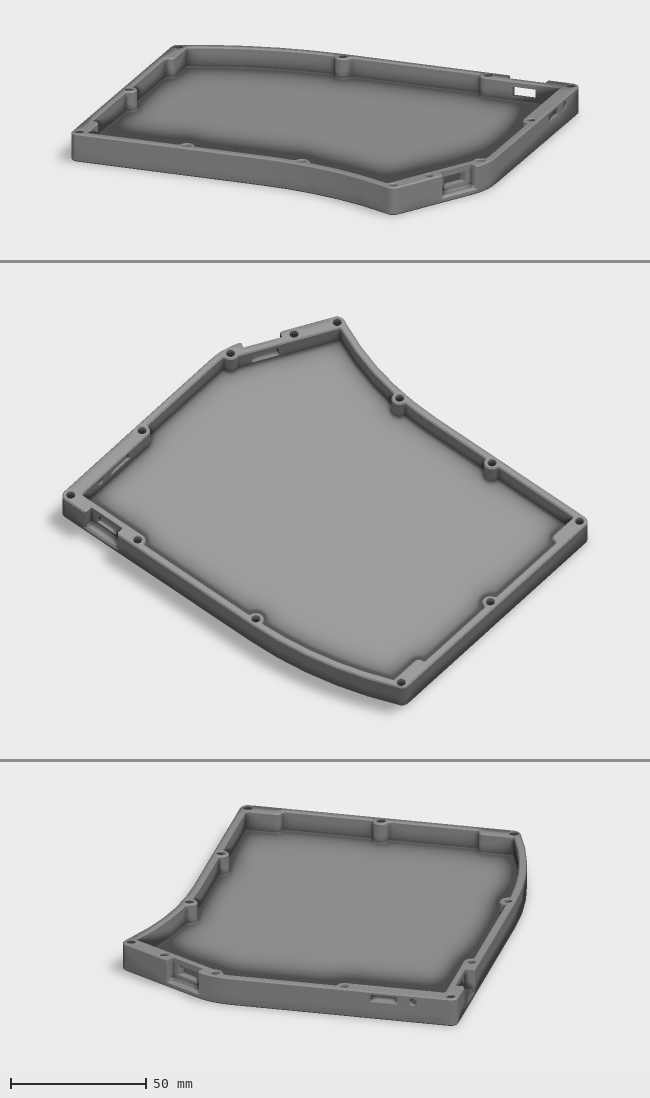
import cadquery as cq
import math

case_width = 156.91
case_depth = 132.65
case_height = 11.0
back_y = 119.33
floor_top = 3.0
wall = 3.0
thick_wall = 2 * wall
edge_chamfer = 0.5
cavity_corner_radius = 0.8

back_arc_x = 63.5
back_arc_radius = 154.0
left_edge_top_y = back_y - back_arc_radius + math.sqrt(back_arc_radius**2 - back_arc_x**2)

tip_x = 132.77
tip_y = back_y - case_depth + wall
front_arc_x = 76.0
front_arc_angle = math.radians(25.2)
front_arc_radius = (
    (tip_x - front_arc_x) * math.sin(front_arc_angle) + tip_y * math.cos(front_arc_angle) - wall
) / (1 - math.cos(front_arc_angle))
slant_angle = 60.0
knuckle_radius = 28.0

slant_dir = (math.cos(math.radians(slant_angle)), math.sin(math.radians(slant_angle)))
slant_out = (slant_dir[1], -slant_dir[0])


def on_slant(along, inward):
    """Point at a distance along the slanted edge from the tip, and inward from that edge."""
    out = wall - inward
    return (
        tip_x + along * slant_dir[0] + out * slant_out[0],
        tip_y + along * slant_dir[1] + out * slant_out[1],
    )


knuckle_along = (case_width - on_slant(0, 0)[0]) / slant_dir[0]
knuckle_point = on_slant(knuckle_along, 0)


def front_arc_point(angle):
    return (
        front_arc_x + front_arc_radius * math.sin(angle),
        front_arc_radius * (math.cos(angle) - 1),
    )


front_arc_end = front_arc_point(front_arc_angle)
tip_turn = math.radians(slant_angle) + front_arc_angle
tip_point = on_slant(-wall / math.tan((math.pi - tip_turn) / 2), 0)

back_arc_half = math.asin(back_arc_x / back_arc_radius) / 2
back_arc_mid = (
    back_arc_x - back_arc_radius * math.sin(back_arc_half),
    back_y - back_arc_radius * (1 - math.cos(back_arc_half)),
)

screw_diameter = 3.2
screw_chamfer = 0.25
boss_radius = wall
left_screw_y = 53.6
front_screw_x = 45.7
corner_screw_y = 104.2
back_screw_x = 121.2
right_screw_y = 75.8
slant_screw_along = 16.9
knuckle_screw_along = 42.1
knuckle_screw = on_slant(knuckle_screw_along, 1.3 * wall)
front_arc_screw_x = 91.7
front_arc_screw_angle = math.asin((front_arc_screw_x - front_arc_x) / front_arc_radius)
front_arc_screw = (front_arc_screw_x, front_arc_point(front_arc_screw_angle)[1] + wall)
boss_screws = [
    (wall, left_screw_y),
    (back_arc_x, back_y - wall),
    (back_screw_x, back_y - wall),
    (case_width - wall, right_screw_y),
    knuckle_screw,
    front_arc_screw,
    (front_screw_x, wall),
]
pad_screws = [
    (wall, wall),
    (wall, corner_screw_y),
    (case_width - wall, back_y - wall),
    on_slant(slant_screw_along, wall),
    (tip_x, tip_y),
]

pad_gap = 75.0
pad_corner_radius = 2.0

recess_width = 15.2
recess_floor = 2.5
recess_floor_chamfer = 0.75
recess_mouth_chamfer = 0.75
window_height = 4.0
window_z = 6.8
back_recess_x = 136.5
back_recess_depth = 3.5
back_window_width = 9.3
slant_recess_along = 29.1
slant_recess_depth = 3.0
slant_window_width = 10.6

button_diameter = 3.0
button_y = 102.6
slot_y = 91.4
slot_length = 10.3
slot_height = 3.0
opening_z = 8.3


def outline():
    """Plan outline with sharp corners."""
    return (
        cq.Workplane("XY")
        .moveTo(0, 0)
        .lineTo(front_arc_x, 0)
        .threePointArc(front_arc_point(front_arc_angle / 2), front_arc_end)
        .lineTo(*tip_point)
        .lineTo(*knuckle_point)
        .lineTo(case_width, back_y)
        .lineTo(back_arc_x, back_y)
        .threePointArc(back_arc_mid, (0, left_edge_top_y))
        .close()
    )


def edge_at(point):
    """Selector for the upright edge at a plan position."""
    size = 0.2
    x, y = point
    return cq.selectors.BoxSelector(
        (x - size, y - size, -size), (x + size, y + size, case_height + size)
    )


def outer_block():
    """Solid block with rounded upright corners."""
    block = outline().extrude(case_height)
    for corner in [(0, 0), tip_point, (case_width, back_y), (0, left_edge_top_y)]:
        block = block.edges("|Z").edges(edge_at(corner)).fillet(wall)
    return block.edges("|Z").edges(edge_at(knuckle_point)).fillet(knuckle_radius)


def upright_box(x0, x1, y0, y1):
    return cq.Workplane("XY").box(
        x1 - x0, y1 - y0, case_height, centered=False
    ).translate((x0, y0, 0))


def slant_frame(along):
    """Workplane on the slanted edge: local X along the edge, local Y inward, Z up."""
    x, y = on_slant(along, 0)
    return cq.Plane(origin=(x, y, 0), xDir=(slant_dir[0], slant_dir[1], 0), normal=(0, 0, 1))


def wall_pads():
    """Thick parts of the wall: two corner pads on the left, and the connector walls."""
    lower_end = left_screw_y - pad_gap / 2
    upper_end = left_screw_y + pad_gap / 2
    lower = upright_box(0, thick_wall, 0, lower_end)
    lower = lower.edges("|Z and >X and >Y").fillet(pad_corner_radius)
    upper = upright_box(0, thick_wall, upper_end, back_y)
    upper = upper.edges("|Z and >X and <Y").fillet(pad_corner_radius)
    back = upright_box(back_screw_x, case_width, back_y - thick_wall, back_y)
    right = upright_box(case_width - thick_wall, case_width, right_screw_y, back_y)
    slant_length = knuckle_screw_along + thick_wall
    slant = (
        cq.Workplane(slant_frame(0))
        .moveTo(-thick_wall, 0)
        .rect(slant_length, thick_wall, centered=False)
        .extrude(case_height)
    )
    return lower.union(upper).union(back).union(right).union(slant)


def cavity():
    """Space inside the tray, bounded by the walls, pads and screw bosses."""
    space = outline().offset2D(-wall).extrude(case_height)
    inner_knuckle = (
        case_width - wall,
        knuckle_point[1] + wall * math.tan(math.radians(90 - slant_angle) / 2),
    )
    space = space.edges("|Z").edges(edge_at(inner_knuckle)).fillet(knuckle_radius - wall)
    space = space.cut(wall_pads())
    bosses = cq.Workplane("XY").pushPoints(boss_screws).circle(boss_radius).extrude(case_height)
    space = space.cut(bosses)
    space = max(space.solids().vals(), key=lambda solid: solid.Volume())
    shrunk = cq.Workplane(space).faces("<Z").wires().val().offset2D(-cavity_corner_radius)[0]
    rounded_outline = shrunk.offset2D(cavity_corner_radius)[0]
    rounded = cq.Workplane("XY").add(rounded_outline).toPending().extrude(case_height)
    rounded = rounded.translate((0, 0, floor_top))
    return rounded.faces("<Z").chamfer(edge_chamfer)


def recess(frame, depth, window_width):
    """Connector recess, open at the top, with a window through the wall behind it."""
    pocket = (
        cq.Workplane(frame)
        .workplane(offset=recess_floor)
        .rect(recess_width, 2 * depth)
        .extrude(case_height)
        .faces("<Z")
        .chamfer(recess_floor_chamfer)
    )
    sill = recess_floor - recess_mouth_chamfer
    mouth_height = 2 * (case_height - sill)
    mouth_centre = frame.origin + cq.Vector(0, 0, sill + mouth_height / 2)
    mouth = (
        cq.Workplane(cq.Plane(origin=mouth_centre, xDir=frame.xDir, normal=frame.yDir))
        .rect(recess_width + 2 * recess_mouth_chamfer, mouth_height)
        .extrude(recess_mouth_chamfer, taper=45)
    )
    window = (
        cq.Workplane(frame)
        .workplane(offset=window_z - window_height / 2)
        .moveTo(0, thick_wall / 2)
        .rect(window_width, 2 * thick_wall)
        .extrude(window_height)
    )
    return pocket.union(mouth).union(window)


def right_wall_openings():
    """Round button hole and switch slot through the thick right wall."""
    plane = cq.Workplane("YZ", origin=(case_width - 2 * thick_wall, 0, 0))
    button = plane.center(button_y, opening_z).circle(button_diameter / 2).extrude(3 * thick_wall)
    slot = plane.center(slot_y, opening_z).rect(slot_length, slot_height).extrude(3 * thick_wall)
    return button.union(slot)


def screw_holes():
    """Blind holes down to the floor level, with a small countersink at the rim."""
    radius = screw_diameter / 2
    hole = (
        cq.Workplane("XZ")
        .moveTo(0, floor_top)
        .lineTo(radius, floor_top)
        .lineTo(radius, case_height - screw_chamfer)
        .lineTo(radius + screw_chamfer, case_height)
        .lineTo(0, case_height)
        .close()
        .revolve(360, (0, 0, 0), (0, 1, 0))
        .val()
    )
    return cq.Workplane("XY").newObject(
        [hole.translate(cq.Vector(x, y, 0)) for x, y in boss_screws + pad_screws]
    ).combine()


tray = outer_block().cut(cavity())
tray = tray.faces(">Z or <Z").edges().chamfer(edge_chamfer)

back_frame = cq.Plane(origin=(back_recess_x, back_y, 0), xDir=(-1, 0, 0), normal=(0, 0, 1))
tray = tray.cut(recess(back_frame, back_recess_depth, back_window_width))
slant_recess_frame = slant_frame(slant_recess_along)
tray = tray.cut(recess(slant_recess_frame, slant_recess_depth, slant_window_width))
tray = tray.cut(right_wall_openings())
result = tray.cut(screw_holes())